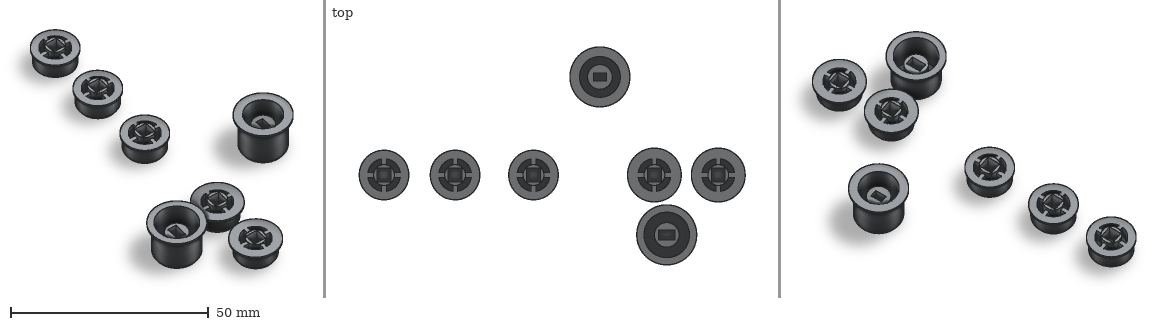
import cadquery as cq


overall_length = 97.7
flange_thickness = 0.6
floor_thickness = 1.0
chamfer_height = 1.0
chamfer_inset = 0.6

small_flange_diameter = 12.6
large_flange_diameter = 13.7
button_body_diameter = 11.5
button_flange_top = 6.45
chamfered_button_bottom = 0.6
plain_button_bottom = 1.5
button_bore_diameter = 8.3
post_diameter = 5.3
post_socket_side = 3.5
tall_post_top = 7.3
short_post_top = 6.7
rib_width = 1.2
last_button_x = overall_length - small_flange_diameter / 2 - large_flange_diameter / 2

cup_flange_diameter = 15.2
cup_body_diameter = 12.8
boss_diameter = 6.3
boss_top_depth = 3.5

button_specs = [
    (0.0, small_flange_diameter, plain_button_bottom, False, tall_post_top),
    (18.0, small_flange_diameter, chamfered_button_bottom, True, tall_post_top),
    (37.8, small_flange_diameter, chamfered_button_bottom, True, tall_post_top),
    (68.4, large_flange_diameter, chamfered_button_bottom, True, tall_post_top),
    (last_button_x, large_flange_diameter, chamfered_button_bottom, True, short_post_top),
]

cup_specs = [
    (54.6, 24.8, 11.6, 10.4, 3.2, 2.1),
    (71.5, -15.15, 10.8, 11.5, 4.1, 2.5),
]


def cylinder(diameter, bottom, top):
    return cq.Workplane("XY").workplane(offset=bottom).circle(diameter / 2).extrude(top - bottom)


def box(length, width, bottom, top):
    return cq.Workplane("XY").workplane(offset=bottom).rect(length, width).extrude(top - bottom)


def chamfered_base(diameter, bottom):
    """A cone frustum that widens upward to the given diameter over the chamfer height."""
    return (
        cq.Workplane("XY")
        .workplane(offset=bottom)
        .circle(diameter / 2 - chamfer_inset)
        .workplane(offset=chamfer_height)
        .circle(diameter / 2)
        .loft(ruled=True)
    )


def flanged_shell(body_diameter, flange_diameter, bore_diameter, bottom, top, chamfered):
    """A round shell with a floor, an outward flange at its rim and an optional bottom chamfer."""
    if chamfered:
        wall_edge = bottom + chamfer_height
        body = cylinder(body_diameter, wall_edge, top).union(chamfered_base(body_diameter, bottom))
    else:
        body = cylinder(body_diameter, bottom, top)
    flange = cylinder(flange_diameter, top - flange_thickness, top)
    bore = cylinder(bore_diameter, bottom + floor_thickness, top)
    return body.union(flange).cut(bore)


def make_button(x, flange_diameter, bottom, chamfered, post_top):
    """A shell with a square-socketed centre post, tied to the wall by four ribs."""
    floor = bottom + floor_thickness
    shell = flanged_shell(
        button_body_diameter, flange_diameter, button_bore_diameter, bottom, button_flange_top, chamfered
    )
    rib_span = (button_bore_diameter + button_body_diameter) / 2
    ribs = box(rib_span, rib_width, floor, button_flange_top).union(
        box(rib_width, rib_span, floor, button_flange_top)
    )
    post = cylinder(post_diameter, floor, post_top)
    socket = box(post_socket_side, post_socket_side, floor, post_top)
    return shell.union(ribs).union(post).cut(socket).translate((x, 0, 0))


def make_cup(x, y, rim, bore_diameter, socket_length, socket_width):
    """A deep shell with a round boss on its floor and a rectangular socket down the boss."""
    shell = flanged_shell(cup_body_diameter, cup_flange_diameter, bore_diameter, 0, rim, True)
    boss_top = rim - boss_top_depth
    boss = cylinder(boss_diameter, floor_thickness, boss_top)
    socket = box(socket_length, socket_width, floor_thickness, boss_top)
    return shell.union(boss).cut(socket).translate((x, y, 0))


buttons = [make_button(*spec) for spec in button_specs]
cups = [make_cup(*spec) for spec in cup_specs]

result = cq.Compound.makeCompound([body.val() for body in buttons + cups])